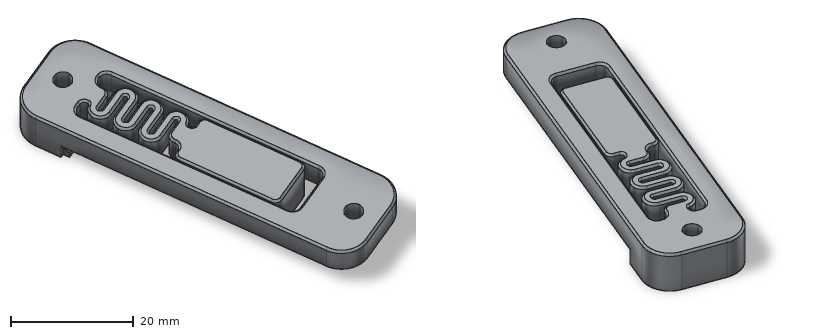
import cadquery as cq

length = 64.8
width = 18.0
height = 7.6
plate_thickness = 4.6
plate_bottom = height - plate_thickness
corner_radius = 5.0
top_chamfer = 0.4
foot_length = 9.8
hole_diameter = 3.25
hole_x = length / 2 - corner_radius

window_left = foot_length - length / 2
window_right = 19.4
window_width = 10.0
window_right_radius = 1.5
lobe_radius = 1.4

gap_count = 6
gap_width = 0.65
gap_pitch = 2.4
first_gap_x = -19.2
bend_y = 2.0
beam_width = gap_pitch - gap_width
inner_bend_radius = gap_width / 2
outer_bend_radius = inner_bend_radius + beam_width
last_gap_x = first_gap_x + (gap_count - 1) * gap_pitch

neck_round = 1.5
root_lobe_radius = 0.85
root_notch_radius = 0.3
pad_notch_radius = 0.5
pad_neck_radius = 1.15

pad_left = -3.95
pad_right = 15.95
pad_width = 9.6
pad_radius = 1.3

foot_catch_reach = 1.2
foot_catch_tip = 1.0
foot_catch_top = 2.0
foot_catch_width = 16.65
pad_catch_left = 11.1
pad_catch_tip = 1.55
pad_catch_radius = 1.05


def block(x_min, x_max, y_min, y_max, z_min, z_max):
    """Box given by its limits along each axis."""
    size = (x_max - x_min, y_max - y_min, z_max - z_min)
    return cq.Workplane("XY").box(*size, centered=False).translate((x_min, y_min, z_min))


def layer(x_min, x_max, y_min, y_max):
    """Box as thick as the plate."""
    return block(x_min, x_max, y_min, y_max, plate_bottom, height)


def round_upright_edge(body, x, y, radius):
    """Round the upright edge of the plate layer that passes through (x, y)."""
    middle = (x, y, height - plate_thickness / 2)
    return body.edges("|Z").edges(cq.selectors.NearestToPointSelector(middle)).fillet(radius)


def make_frame():
    """Plate with its rectangular window."""
    frame = layer(-length / 2, length / 2, -width / 2, width / 2).edges("|Z").fillet(corner_radius)
    window = layer(window_left, window_right, -window_width / 2, window_width / 2)
    window = window.edges("|Z and >X").fillet(window_right_radius)
    window = window.edges("|Z and <X").fillet(lobe_radius)
    return frame.cut(window)


def make_bend(x, side):
    """Half ring around the end of one gap; side is +1 at the +Y end and -1 at the -Y end."""
    ring = (
        cq.Workplane("XY", origin=(x, side * bend_y, plate_bottom))
        .circle(outer_bend_radius)
        .circle(inner_bend_radius)
        .extrude(plate_thickness)
    )
    near, far = sorted((side * bend_y, side * (bend_y + outer_bend_radius)))
    return ring.intersect(layer(x - outer_bend_radius, x + outer_bend_radius, near, far))


def make_flexure():
    """Root neck, serpentine spring, pad neck and pad."""
    pad = layer(pad_left, pad_right, -pad_width / 2, pad_width / 2).edges("|Z").fillet(pad_radius)

    root_end = first_gap_x - inner_bend_radius
    root = layer(window_left, root_end, -bend_y, bend_y)
    root = round_upright_edge(root, root_end, bend_y, neck_round)

    neck_start = last_gap_x + inner_bend_radius
    neck = layer(neck_start, pad_left + pad_radius, -bend_y, bend_y)
    neck = round_upright_edge(neck, neck_start, -bend_y, neck_round)

    flexure = pad.union(neck).union(root)
    for index in range(gap_count):
        x = first_gap_x + index * gap_pitch
        side = -1 if index % 2 == 0 else 1
        flexure = flexure.union(make_bend(x, side))
        if index < gap_count - 1:
            beam_start = x + inner_bend_radius
            flexure = flexure.union(layer(beam_start, beam_start + beam_width, -bend_y, bend_y))
    return flexure


def make_foot():
    """Deep end of the plate."""
    foot = block(-length / 2, length / 2, -width / 2, width / 2, 0, plate_bottom)
    foot = foot.edges("|Z").fillet(corner_radius)
    return foot.intersect(block(-length / 2, window_left, -width / 2, width / 2, 0, plate_bottom))


def make_foot_catch():
    """Sloped lip along the inner face of the foot."""
    tip_x = window_left + foot_catch_reach
    return (
        cq.Workplane("XZ")
        .polyline([(window_left, 0), (tip_x, 0), (tip_x, foot_catch_tip), (window_left, foot_catch_top)])
        .close()
        .extrude(foot_catch_width / 2, both=True)
    )


def make_pad_catch():
    """Block under the free end of the pad with a 45 degree undercut facing the foot."""
    catch = block(pad_catch_left, pad_right, -pad_width / 2, pad_width / 2, 0, plate_bottom)
    catch = catch.edges("|Z and >X").fillet(pad_radius)
    catch = catch.edges("|Z and <X").fillet(pad_catch_radius)
    undercut_rise = plate_bottom - pad_catch_tip
    undercut = (
        cq.Workplane("XZ")
        .moveTo(pad_catch_left, pad_catch_tip)
        .lineTo(pad_catch_left + undercut_rise, plate_bottom)
        .lineTo(pad_catch_left, plate_bottom)
        .close()
        .extrude(pad_width, both=True)
    )
    return catch.cut(undercut)


body = make_frame().union(make_flexure())

inner_corners = [
    (window_left, bend_y, lobe_radius),
    (window_left, -bend_y, root_lobe_radius),
    (first_gap_x - outer_bend_radius, -bend_y, root_notch_radius),
    (last_gap_x + outer_bend_radius, bend_y, pad_notch_radius),
    (pad_left, bend_y, pad_notch_radius),
    (pad_left, -bend_y, pad_neck_radius),
]
for corner_x, corner_y, corner_round in inner_corners:
    body = round_upright_edge(body, corner_x, corner_y, corner_round)

body = body.faces(">Z").edges().chamfer(top_chamfer)
body = body.union(make_foot()).union(make_foot_catch()).union(make_pad_catch())

holes = (
    cq.Workplane("XY")
    .pushPoints([(-hole_x, 0), (hole_x, 0)])
    .circle(hole_diameter / 2)
    .extrude(height)
)
result = body.cut(holes)